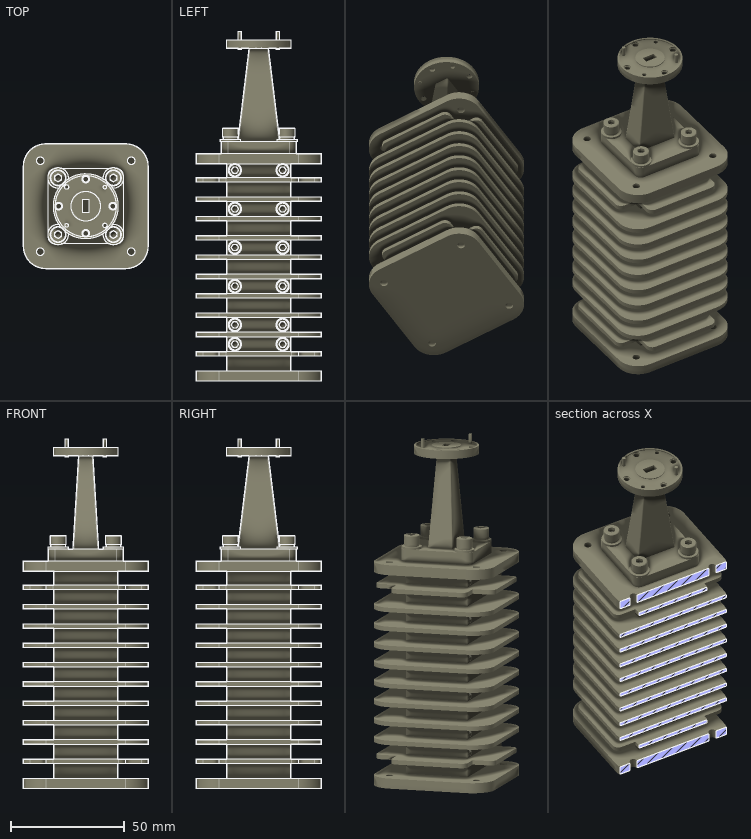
import cadquery as cq
import math

plate_side = 55.0
plate_corner_radius = 10.0
plate_thickness = 4.5
housing_height = 100.0
core_side = 28.3
mount_hole_offset = 20.0
mount_hole_diameter = 3.3

fin_count = 10
fin_pitch = 8.5
fin_thickness = 2.0
fin_stack_center_z = 50.2
notch_inner_edge = 17.5
notch_round_radius = 3.0

side_screw_y = 10.5
side_screw_head_diameter = 5.5
side_screw_bore_diameter = 5.8
side_screw_head_height = 3.0
side_screw_socket_width = 2.8
side_screw_gaps = (0, 1, 3, 5, 7, 9)

block_side = 33.0
block_height = 5.3
block_corner_radius = 3.0
horn_base = (11.4, 18.6)
horn_top = (6.4, 8.6)
horn_edge_radius = 0.4
guide_width = 2.845
guide_length = 5.69

block_screw_x = 12.15
block_screw_y = 12.45
washer_diameter = 9.0
washer_thickness = 1.0
lock_washer_diameter = 6.5
lock_washer_thickness = 1.0
block_screw_head_diameter = 7.0
block_screw_head_height = 4.0
block_screw_socket_width = 3.0

flange_diameter = 28.58
flange_thickness = 3.75
flange_boss_diameter = 13.0
flange_rim_inner_diameter = 26.9
flange_recess_depth = 0.4
bolt_circle_diameter = 23.81
bolt_hole_count = 4
bolt_hole_diameter = 2.5
bolt_hole_mouth_diameter = 3.3
spare_pin_hole_diameter = 1.9
pin_diameter = 1.56
pin_angles = (45, 225)
spare_pin_hole_angle = 135
pin_projection_above = 3.73
pin_projection_below = 0.5
total_height = 153.73

head_chamfer = 0.25
socket_depth_ratio = 0.5
socket_drill_angle = 118.0

block_top_z = housing_height + block_height
flange_top_z = total_height - pin_projection_above
flange_bottom_z = flange_top_z - flange_thickness
recess_floor_z = flange_top_z - flange_recess_depth
fin_centers = [fin_stack_center_z + (i - (fin_count - 1) / 2) * fin_pitch for i in range(fin_count)]


def at_height(z):
    return cq.Workplane("XY").workplane(offset=z)


def rounded_plate(side, radius, thickness, bottom_z):
    plate = at_height(bottom_z).rect(side, side).extrude(thickness)
    return plate.edges("|Z").fillet(radius)


def full_fin(bottom_z):
    return rounded_plate(plate_side, plate_corner_radius, fin_thickness, bottom_z)


def notched_fin(bottom_z):
    """Cross-shaped fin: square corner notches leave four tabs with rounded tips."""
    long_bar = at_height(bottom_z).rect(plate_side, 2 * notch_inner_edge).extrude(fin_thickness)
    cross_bar = at_height(bottom_z).rect(2 * notch_inner_edge, plate_side).extrude(fin_thickness)
    long_bar = long_bar.edges("|Z").fillet(notch_round_radius)
    cross_bar = cross_bar.edges("|Z").fillet(notch_round_radius)
    centre = at_height(bottom_z).rect(2 * notch_inner_edge, 2 * notch_inner_edge).extrude(fin_thickness)
    return centre.union(long_bar).union(cross_bar)


def socket_cutter(across_flats, depth):
    """Hexagonal socket with a conical bottom, opening upward at the origin."""
    hexagon = cq.Workplane("XY").polygon(6, across_flats, circumscribed=True).extrude(-depth)
    cone_height = across_flats / 2 / math.tan(math.radians(socket_drill_angle / 2))
    cone = cq.Solid.makeCone(
        across_flats / 2, 0, cone_height, cq.Vector(0, 0, -depth), cq.Vector(0, 0, -1)
    )
    return hexagon.union(cq.Workplane(cone))


def screw_head(diameter, height, across_flats):
    """Socket cap head standing on the origin, pointing up."""
    head = cq.Workplane("XY").circle(diameter / 2).extrude(height)
    head = head.faces(">Z").edges().chamfer(head_chamfer)
    socket = socket_cutter(across_flats, height * socket_depth_ratio)
    return head.cut(socket.translate((0, 0, height)))


def make_housing():
    housing = at_height(0).rect(core_side, core_side).extrude(housing_height)
    for bottom_z in (0, housing_height - plate_thickness):
        plate = rounded_plate(plate_side, plate_corner_radius, plate_thickness, bottom_z)
        mount_holes = (
            at_height(bottom_z)
            .rect(2 * mount_hole_offset, 2 * mount_hole_offset, forConstruction=True)
            .vertices()
            .circle(mount_hole_diameter / 2)
            .extrude(plate_thickness)
        )
        housing = housing.union(plate.cut(mount_holes))
    for i, center_z in enumerate(fin_centers):
        make_fin = notched_fin if i in (0, fin_count - 1) else full_fin
        housing = housing.union(make_fin(center_z - fin_thickness / 2))
    return housing


def add_side_screws(housing):
    """Sink cap screws into counterbores so their heads are flush with the -X face."""
    face_x = -core_side / 2
    bore = cq.Workplane("XY").circle(side_screw_bore_diameter / 2).extrude(side_screw_head_height)
    head = screw_head(side_screw_head_diameter, side_screw_head_height, side_screw_socket_width)
    bore = bore.rotate((0, 0, 0), (0, 1, 0), -90)
    head = head.rotate((0, 0, 0), (0, 1, 0), -90)
    for gap in side_screw_gaps:
        for y in (-side_screw_y, side_screw_y):
            place = (face_x + side_screw_head_height, y, fin_centers[gap] + fin_pitch / 2)
            housing = housing.cut(bore.translate(place)).union(head.translate(place))
    return housing


def make_block_screw():
    lock_washer_z = washer_thickness
    head_z = lock_washer_z + lock_washer_thickness
    washer = at_height(0).circle(washer_diameter / 2).extrude(washer_thickness)
    lock_washer = at_height(lock_washer_z).circle(lock_washer_diameter / 2).extrude(lock_washer_thickness)
    head = screw_head(block_screw_head_diameter, block_screw_head_height, block_screw_socket_width)
    return washer.union(lock_washer).union(head.translate((0, 0, head_z)))


def make_flange():
    flange = at_height(flange_bottom_z).circle(flange_diameter / 2).extrude(flange_thickness)
    recess = (
        at_height(recess_floor_z)
        .circle(flange_rim_inner_diameter / 2)
        .circle(flange_boss_diameter / 2)
        .extrude(flange_recess_depth)
    )
    flange = flange.cut(recess)
    bolt_holes = (
        at_height(flange_top_z)
        .polarArray(bolt_circle_diameter / 2, 0, 360, bolt_hole_count)
        .circle(bolt_hole_diameter / 2)
        .extrude(-flange_thickness)
    )
    mouth_depth = (bolt_hole_mouth_diameter - bolt_hole_diameter) / 2
    bolt_mouths = (
        at_height(recess_floor_z - mouth_depth)
        .polarArray(bolt_circle_diameter / 2, 0, 360, bolt_hole_count)
        .circle(bolt_hole_mouth_diameter / 2)
        .extrude(flange_recess_depth + mouth_depth)
    )
    spare_pin_holes = (
        at_height(flange_bottom_z)
        .polarArray(bolt_circle_diameter / 2, spare_pin_hole_angle, 360, 2)
        .circle(spare_pin_hole_diameter / 2)
        .extrude(flange_thickness)
    )
    return flange.cut(bolt_holes).cut(bolt_mouths).cut(spare_pin_holes)


def make_transition():
    block = rounded_plate(block_side, block_corner_radius, block_height, housing_height)
    horn = (
        at_height(block_top_z)
        .rect(*horn_base)
        .workplane(offset=flange_bottom_z - block_top_z)
        .rect(*horn_top)
        .loft(ruled=True)
        .edges("not(#Z)")
        .fillet(horn_edge_radius)
    )
    transition = block.union(horn).union(make_flange())
    guide = at_height(housing_height).rect(guide_width, guide_length)
    transition = transition.cut(guide.extrude(flange_top_z - housing_height))
    screw = make_block_screw()
    for x in (-block_screw_x, block_screw_x):
        for y in (-block_screw_y, block_screw_y):
            transition = transition.union(screw.translate((x, y, block_top_z)))
    return transition


def make_pin(angle):
    """Dowel pin pressed through the round flange at an angle on the bolt circle."""
    radius = bolt_circle_diameter / 2
    x = radius * math.cos(math.radians(angle))
    y = radius * math.sin(math.radians(angle))
    bottom_z = flange_bottom_z - pin_projection_below
    return at_height(bottom_z).center(x, y).circle(pin_diameter / 2).extrude(total_height - bottom_z)


pins = [make_pin(angle) for angle in pin_angles]

load = add_side_screws(make_housing()).union(make_transition())
for pin in pins:
    load = load.cut(pin)

result = cq.Compound.makeCompound([load.val(), *[pin.val() for pin in pins]])